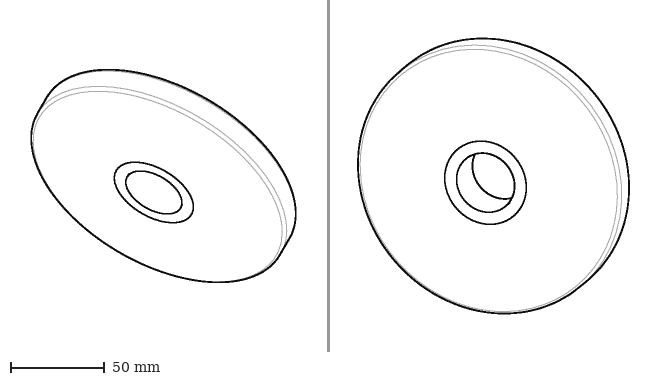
import cadquery as cq

wheel_diameter = 150.0
hub_width = 24.5
rim_width = 15.0
rim_fillet = 2.0
bushing_diameter = 46.5
bore_diameter = 33.0

wheel_radius = wheel_diameter / 2
bushing_radius = bushing_diameter / 2
bore_radius = bore_diameter / 2


def make_wheel():
    """Disc whose two conical sides taper from the hub to a rounded rim."""
    half_hub = hub_width / 2
    half_rim = rim_width / 2
    blank = (
        cq.Workplane("XY")
        .polyline([
            (bushing_radius, -half_hub),
            (wheel_radius, -half_rim),
            (wheel_radius, half_rim),
            (bushing_radius, half_hub),
        ])
        .close()
        .revolve(360, (0, 0, 0), (0, 1, 0))
    )
    rim_edges = cq.selectors.RadiusNthSelector(-1)
    return blank.edges(rim_edges).fillet(rim_fillet)


def make_bushing():
    """Plain sleeve filling the wheel's centre hole, flush on both sides."""
    return (
        cq.Workplane("XZ", origin=(0, hub_width / 2, 0))
        .circle(bushing_radius)
        .circle(bore_radius)
        .extrude(hub_width)
    )


wheel = make_wheel()
bushing = make_bushing()

result = cq.Compound.makeCompound([wheel.val(), bushing.val()])